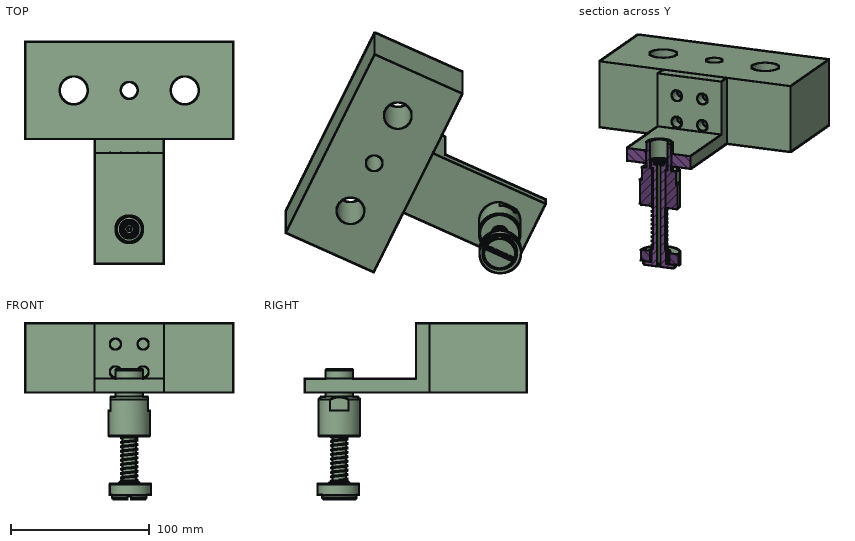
import cadquery as cq

block_length = 150.0
block_depth = 70.0
block_height = 50.0
side_hole_diameter = 20.0
side_hole_offset = 40.0
middle_hole_diameter = 12.0

bracket_width = 50.0
overall_depth = 160.0
bracket_reach = overall_depth - block_depth
bracket_thickness = 10.0
screw_hole_diameter = 8.0
screw_hole_spacing = 20.0
screw_hole_top_distance = 15.0

axis_to_bracket_end = 25.0
axis_y = axis_to_bracket_end - bracket_reach

neck_diameter = 20.0
neck_top = 17.0
neck_chamfer = 1.0
barrel_diameter = 30.0
barrel_top = -3.0
barrel_bottom = -31.8
barrel_top_chamfer = 2.0
barrel_bottom_chamfer = 1.0
flats_width = 27.0
flats_bottom = -13.0
bore_diameter = 13.5
bore_depth = 20.0
guide_hole_diameter = 10.2
shoulder_height = neck_top - bore_depth

wire_diameter = 0.6
coil_diameter = 11.0
spring_pitch = 3.2
spring_turns = 9.5
end_coil_drop = 0.56
helix_height = spring_pitch * spring_turns
spring_seat = barrel_bottom - helix_height - 2 * end_coil_drop - wire_diameter

head_diameter = 13.0
head_height = 6.4
head_chamfer = 0.5
head_top = shoulder_height + head_height
recess_diameter = 8.0
recess_depth = 2.0
pilot_diameter = 7.0
pilot_depth = 3.2
recess_mouth_diameter = 10.0
cable_hole_diameter = 2.5
rod_diameter = 10.0
seat_diameter = 12.0
cone_base_diameter = 15.2
stem_diameter = 12.0
foot_diameter = 25.0
foot_bottom = -77.0
foot_chamfer = 1.3
slot_width = 2.4
slot_depth = 2.0

disc_diameter = 30.0
disc_hole_diameter = 15.2
disc_top = -65.5
disc_bottom = -73.8
disc_chamfer = 0.6
disc_shift = 0.8


def cylinder(diameter, bottom, top, x=0.0, y=axis_y):
    """Vertical cylinder between two heights, on the plunger axis unless placed elsewhere."""
    return cq.Workplane("XY", origin=(x, y, bottom)).circle(diameter / 2).extrude(top - bottom)


def make_block():
    block = cq.Workplane("XY").box(block_length, block_depth, block_height, centered=(True, False, False))
    middle_y = block_depth / 2
    for x in (-side_hole_offset, side_hole_offset):
        block = block.cut(cylinder(side_hole_diameter, 0, block_height, x, middle_y))
    return block.cut(cylinder(middle_hole_diameter, 0, block_height, 0, middle_y))


def make_bracket():
    profile = [
        (0, 0),
        (-bracket_reach, 0),
        (-bracket_reach, bracket_thickness),
        (-bracket_thickness, bracket_thickness),
        (-bracket_thickness, block_height),
        (0, block_height),
    ]
    bracket = cq.Workplane("YZ").polyline(profile).close().extrude(bracket_width / 2, both=True)
    upper_row = block_height - screw_hole_top_distance
    hole_centres = [
        (x, z)
        for x in (-screw_hole_spacing / 2, screw_hole_spacing / 2)
        for z in (upper_row, upper_row - screw_hole_spacing)
    ]
    screw_holes = (
        cq.Workplane("XZ")
        .pushPoints(hole_centres)
        .circle(screw_hole_diameter / 2)
        .extrude(bracket_thickness)
    )
    return bracket.cut(screw_holes).cut(cylinder(neck_diameter, 0, bracket_thickness))


def make_holder():
    barrel = cylinder(barrel_diameter, barrel_bottom, barrel_top)
    barrel = barrel.faces(">Z").chamfer(barrel_top_chamfer)
    barrel = barrel.faces("<Z").chamfer(barrel_bottom_chamfer)

    flats_height = barrel_top - flats_bottom
    flat_offset = (flats_width + barrel_diameter) / 2
    for x in (-flat_offset, flat_offset):
        barrel = barrel.cut(
            cq.Workplane("XY", origin=(x, axis_y, flats_bottom))
            .box(barrel_diameter, barrel_diameter, flats_height, centered=(True, True, False))
        )

    neck = cylinder(neck_diameter, barrel_top, neck_top).faces(">Z").chamfer(neck_chamfer)
    bore = cylinder(bore_diameter, shoulder_height, neck_top)
    guide_hole = cylinder(guide_hole_diameter, barrel_bottom, shoulder_height)
    return barrel.union(neck).cut(bore).cut(guide_hole)


def make_spring():
    """Open helix closed by one flat coil at each end."""
    coil_radius = coil_diameter / 2
    wire_radius = wire_diameter / 2
    path = cq.Wire.makeHelix(spring_pitch, helix_height, coil_radius)
    spring = cq.Workplane("XZ").center(coil_radius, 0).circle(wire_radius).sweep(path, isFrenet=True)
    for z in (-end_coil_drop, helix_height + end_coil_drop):
        spring = spring.union(cq.Workplane(cq.Solid.makeTorus(coil_radius, wire_radius)).translate((0, 0, z)))
    return spring.translate((0, axis_y, spring_seat + wire_radius + end_coil_drop))


def make_plunger():
    head = cylinder(head_diameter, shoulder_height, head_top).faces(">Z").chamfer(head_chamfer)
    rod = cylinder(rod_diameter, spring_seat, shoulder_height)
    cone = (
        cq.Workplane("XY", origin=(0, axis_y, disc_top))
        .circle(cone_base_diameter / 2)
        .workplane(offset=spring_seat - disc_top)
        .circle(seat_diameter / 2)
        .loft()
    )
    stem = cylinder(stem_diameter, disc_bottom, disc_top)
    foot = cylinder(foot_diameter, foot_bottom, disc_bottom).faces("<Z").chamfer(foot_chamfer)
    plunger = head.union(rod).union(cone).union(stem).union(foot)

    recess = cylinder(recess_diameter, head_top - recess_depth, head_top)
    recess_chamfer = (recess_mouth_diameter - recess_diameter) / 2
    plunger = plunger.cut(recess).cut(cylinder(pilot_diameter, head_top - pilot_depth, head_top))
    plunger = plunger.cut(
        cq.Workplane("XY", origin=(0, axis_y, head_top))
        .circle(recess_mouth_diameter / 2)
        .workplane(offset=-recess_chamfer)
        .circle(recess_diameter / 2)
        .loft()
    )
    plunger = plunger.cut(cylinder(cable_hole_diameter, foot_bottom, head_top))

    slot = cq.Workplane("XY", origin=(0, axis_y, foot_bottom)).box(
        slot_width, foot_diameter, slot_depth, centered=(True, True, False)
    )
    return plunger.cut(slot)


def make_disc():
    centre = (disc_shift, axis_y - disc_shift)
    disc = cylinder(disc_diameter, disc_bottom, disc_top, *centre).faces(">Z").chamfer(disc_chamfer)
    return disc.cut(cylinder(disc_hole_diameter, disc_bottom, disc_top, *centre))


block = make_block()
bracket = make_bracket()
holder = make_holder()
spring = make_spring()
plunger = make_plunger()
disc = make_disc()

result = cq.Compound.makeCompound(
    [block.val(), bracket.val(), holder.val(), spring.val(), plunger.val(), disc.val()]
)